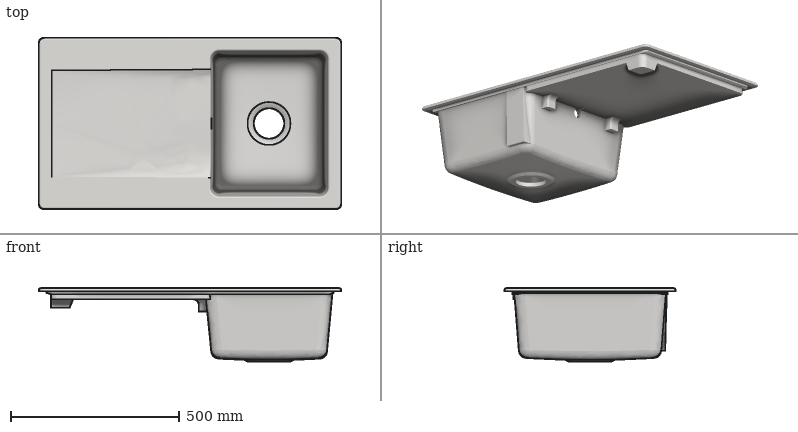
import cadquery as cq

RIM_LENGTH = 900.0
RIM_WIDTH = 510.0
RIM_THICKNESS = 10.0
RIM_CORNER_RADIUS = 16.0
RIM_EDGE_ROUND = 7.0
TOTAL_HEIGHT = 220.0

STEP_LENGTH = 856.0
STEP_WIDTH = 462.0
STEP_BOTTOM_Z = -18.0
STEP_CORNER_RADIUS = 11.0
STEP_CHAMFER_LENGTH = 12.0
STEP_CHAMFER_HEIGHT = 4.0
SLAB_LEFT_X = -414.0
SLAB_RIGHT_X = 62.0
SLAB_WIDTH = 457.0
SLAB_BOTTOM_Z = -34.0
SLAB_CORNER_RADIUS = 20.0

OUTER_TOP = (45.0, 424.5, 226.0, 33.0)
OUTER_LOW = (62.5, 408.0, 212.0, 33.0)
OUTER_LOW_Z = -186.0
INNER_TOP = (60.5, 411.5, 217.0, 26.0)
INNER_LOW = (75.0, 393.0, 197.0, 20.0)
INNER_LOW_Z = -190.0
OUTER_FLOOR_ROUND = 25.0
INNER_FLOOR_ROUND = 14.0
OPENING_ROUND = 5.0
FLOOR_THICKNESS = 14.0
FLOOR_SLOPE = 0.047
OUTER_FLOOR_Z = -217.5
INNER_FLOOR_Z = OUTER_FLOOR_Z + FLOOR_THICKNESS
LOFT_END_Z = -TOTAL_HEIGHT - 10.0
OVERFLOW_DIAMETER = 30.0
OVERFLOW_Z = -46.0

DRAIN_X = 235.0
DRAIN_DIAMETER = 90.0
DRAIN_SEAT_DIAMETER = 128.0
DRAIN_SEAT_DEPTH = 9.0
PAD_TOP_DIAMETER = 146.0
PAD_BOTTOM_DIAMETER = 122.0
PAD_HEIGHT = 6.0
PAD_TOP_Z = -TOTAL_HEIGHT + PAD_HEIGHT

BOARD_START_X = -411.5
BOARD_END_X = 80.0
BOARD_HALF_WIDTH = 158.0
BOARD_FLARE = 3.0
BOARD_START_DEPTH = 0.2
BOARD_END_DEPTH = 13.0
BOARD_SIDE_RUN = 28.0
BOARD_SIDE_STEEPNESS = 1.8

CLIP_Y = 140.0
CLIP_WIDTH = 36.0
CLIP_LEFT_X = 26.0
CLIP_BOTTOM_Z = -70.0
CLIP_FILLET = 16.0
CLIP_OVERLAP = 8.0
CLIP_CORNER_RADIUS = 5.0
FOOT_LENGTH = 66.0
FOOT_BOTTOM_LENGTH = 56.0
FOOT_INNER_Y = 164.0
FOOT_DRAFT_Y = 11.0
FOOT_CORNER_RADIUS = 10.0
FOOT_BOTTOM_Z = -59.0
REST_LEFT_X = 64.0
REST_LENGTH = 66.0
REST_OUTER_TOP_Y = 228.0
REST_OUTER_LOW_Y = 224.0
REST_INNER_Y = 185.0
REST_BOTTOM_Z = -187.0


def plate(length, width, top_z, bottom_z, corner_radius, center_x=0.0):
    """Flat plate with rounded vertical corners."""
    body = cq.Workplane("XY", origin=(center_x, 0, bottom_z)).rect(length, width).extrude(top_z - bottom_z)
    return body.edges("|Z").fillet(corner_radius)


def rounded_rectangle(size, z):
    """Closed wire of a rounded rectangle lying at height z."""
    left, right, half_width, radius = size
    corners = [(left, -half_width), (right, -half_width), (right, half_width), (left, half_width)]
    wire = cq.Wire.makePolygon([cq.Vector(x, y, z) for x, y in corners], close=True)
    return wire.fillet2D(radius, wire.Vertices())


def extrapolate(top, low, top_z, low_z, z):
    """Section of the tapered bowl at height z, on the straight line through two sections."""
    fraction = (z - top_z) / (low_z - top_z)
    return tuple(a + fraction * (b - a) for a, b in zip(top, low))


def bowl_body(top, low, top_z, low_z, floor_z, floor_round):
    """Tapered bowl closed by a shallow conical floor that falls towards the drain."""
    end = extrapolate(top, low, top_z, low_z, LOFT_END_Z)
    wires = [rounded_rectangle(top, top_z), rounded_rectangle(end, LOFT_END_Z)]
    tapered = cq.Workplane(cq.Solid.makeLoft(wires, True))
    cone_radius = RIM_WIDTH
    below_floor = (
        cq.Workplane("XZ", origin=(DRAIN_X, 0, 0))
        .moveTo(0, floor_z)
        .lineTo(cone_radius, floor_z + cone_radius * FLOOR_SLOPE)
        .lineTo(cone_radius, LOFT_END_Z - 1)
        .lineTo(0, LOFT_END_Z - 1)
        .close()
        .revolve(360, (0, 0), (0, 1))
    )
    body = tapered.cut(below_floor)
    return body.faces("%CONE").faces("<Z").edges().fillet(floor_round)


def deck():
    """Rim plate with rounded upper edge, step below it and slab under the drainboard."""
    rim = plate(RIM_LENGTH, RIM_WIDTH, 0, -RIM_THICKNESS, RIM_CORNER_RADIUS)
    rim = rim.faces(">Z").edges().fillet(RIM_EDGE_ROUND)
    step_height = -RIM_THICKNESS - STEP_BOTTOM_Z
    half_length = STEP_LENGTH / 2
    step = (
        cq.Workplane("XZ", origin=(0, STEP_WIDTH / 2, -RIM_THICKNESS))
        .moveTo(-half_length, 0)
        .lineTo(-half_length, STEP_CHAMFER_HEIGHT - step_height)
        .lineTo(STEP_CHAMFER_LENGTH - half_length, -step_height)
        .lineTo(half_length - STEP_CHAMFER_LENGTH, -step_height)
        .lineTo(half_length, STEP_CHAMFER_HEIGHT - step_height)
        .lineTo(half_length, 0)
        .close()
        .extrude(STEP_WIDTH)
        .edges("|Z")
        .fillet(STEP_CORNER_RADIUS)
    )
    slab = plate(
        SLAB_RIGHT_X - SLAB_LEFT_X,
        SLAB_WIDTH,
        -RIM_THICKNESS,
        SLAB_BOTTOM_Z,
        SLAB_CORNER_RADIUS,
        (SLAB_LEFT_X + SLAB_RIGHT_X) / 2,
    )
    return rim.union(step).union(slab)


def board_section(x, half_width, depth):
    """Trough cross-section: nearly flat floor curving up to each side."""
    floor_half_width = half_width - BOARD_SIDE_RUN
    side_slope = BOARD_SIDE_STEEPNESS * depth / BOARD_SIDE_RUN
    floor_and_end = [(-floor_half_width, -depth), (0, -depth), (floor_half_width, -depth), (half_width, 0)]
    return (
        cq.Workplane("YZ", origin=(x, 0, 0))
        .moveTo(-half_width, 0)
        .spline(floor_and_end, tangents=[(1, -side_slope), (1, side_slope)], includeCurrent=True)
        .close()
        .val()
    )


def drainboard():
    """Trough that deepens towards the bowl."""
    shallow = board_section(BOARD_START_X, BOARD_HALF_WIDTH, BOARD_START_DEPTH)
    deep = board_section(BOARD_END_X, BOARD_HALF_WIDTH + BOARD_FLARE, BOARD_END_DEPTH)
    return cq.Workplane(cq.Solid.makeLoft([shallow, deep], True))


def clip(center_y):
    """Lug beside the bowl, blended into the slab underside."""
    top_z = SLAB_BOTTOM_Z + CLIP_OVERLAP
    body = (
        cq.Workplane("XZ", origin=(0, center_y + CLIP_WIDTH / 2, 0))
        .moveTo(CLIP_LEFT_X - CLIP_FILLET, top_z)
        .lineTo(CLIP_LEFT_X - CLIP_FILLET, SLAB_BOTTOM_Z)
        .radiusArc((CLIP_LEFT_X, SLAB_BOTTOM_Z - CLIP_FILLET), CLIP_FILLET)
        .lineTo(CLIP_LEFT_X, CLIP_BOTTOM_Z)
        .lineTo(REST_LEFT_X, CLIP_BOTTOM_Z)
        .lineTo(REST_LEFT_X, top_z)
        .close()
        .extrude(CLIP_WIDTH)
    )
    middle_z = (SLAB_BOTTOM_Z - CLIP_FILLET + CLIP_BOTTOM_Z) / 2
    for side in (-1, 1):
        corner = (CLIP_LEFT_X, center_y + side * CLIP_WIDTH / 2, middle_z)
        body = body.edges(cq.NearestToPointSelector(corner)).fillet(CLIP_CORNER_RADIUS)
    return body


def corner_foot():
    """Foot at the rear left corner, tapering on its two inner sides."""
    outer_y = SLAB_WIDTH / 2
    inner_low_y = FOOT_INNER_Y + FOOT_DRAFT_Y
    body = (
        cq.Workplane("XY", origin=(SLAB_LEFT_X, 0, SLAB_BOTTOM_Z))
        .moveTo(0, FOOT_INNER_Y)
        .lineTo(FOOT_LENGTH, FOOT_INNER_Y)
        .lineTo(FOOT_LENGTH, outer_y)
        .lineTo(0, outer_y)
        .close()
        .workplane(offset=FOOT_BOTTOM_Z - SLAB_BOTTOM_Z)
        .moveTo(0, inner_low_y)
        .lineTo(FOOT_BOTTOM_LENGTH, inner_low_y)
        .lineTo(FOOT_BOTTOM_LENGTH, outer_y)
        .lineTo(0, outer_y)
        .close()
        .loft(ruled=True)
    )
    middle_z = (SLAB_BOTTOM_Z + FOOT_BOTTOM_Z) / 2
    middle_y = FOOT_INNER_Y + FOOT_DRAFT_Y / 2
    middle_length = (FOOT_LENGTH + FOOT_BOTTOM_LENGTH) / 2
    body = body.edges(cq.NearestToPointSelector((SLAB_LEFT_X, outer_y, middle_z))).fillet(SLAB_CORNER_RADIUS)
    inner_corner = (SLAB_LEFT_X + middle_length, middle_y, middle_z)
    return body.edges(cq.NearestToPointSelector(inner_corner)).fillet(FOOT_CORNER_RADIUS)


def rear_rest():
    """Support pad on the rear wall of the bowl."""
    return (
        cq.Workplane("YZ", origin=(REST_LEFT_X, 0, 0))
        .moveTo(REST_INNER_Y, STEP_BOTTOM_Z)
        .lineTo(REST_OUTER_TOP_Y, STEP_BOTTOM_Z)
        .lineTo(REST_OUTER_LOW_Y, REST_BOTTOM_Z)
        .lineTo(REST_INNER_Y, REST_BOTTOM_Z)
        .close()
        .extrude(REST_LENGTH)
    )


def drain_pad():
    """Conical pad under the drain."""
    return (
        cq.Workplane("XZ", origin=(DRAIN_X, 0, 0))
        .moveTo(0, PAD_TOP_Z + FLOOR_THICKNESS / 2)
        .lineTo(PAD_TOP_DIAMETER / 2, PAD_TOP_Z + FLOOR_THICKNESS / 2)
        .lineTo(PAD_TOP_DIAMETER / 2, PAD_TOP_Z)
        .lineTo(PAD_BOTTOM_DIAMETER / 2, -TOTAL_HEIGHT)
        .lineTo(0, -TOTAL_HEIGHT)
        .close()
        .revolve(360, (0, 0), (0, 1))
    )


def drain_opening():
    """Through hole with a conical seat that starts at the bowl floor."""
    seat_top_z = INNER_FLOOR_Z + FLOOR_SLOPE * DRAIN_SEAT_DIAMETER / 2
    seat_low_z = seat_top_z - DRAIN_SEAT_DEPTH
    return (
        cq.Workplane("XZ", origin=(DRAIN_X, 0, 0))
        .moveTo(0, seat_top_z)
        .lineTo(DRAIN_SEAT_DIAMETER / 2, seat_top_z)
        .lineTo(DRAIN_DIAMETER / 2, seat_low_z)
        .lineTo(DRAIN_DIAMETER / 2, LOFT_END_Z)
        .lineTo(0, LOFT_END_Z)
        .close()
        .revolve(360, (0, 0), (0, 1))
    )


def overflow_hole():
    """Hole through the bowl wall on the drainboard side."""
    return (
        cq.Workplane("YZ", origin=(CLIP_LEFT_X, 0, 0))
        .center(0, OVERFLOW_Z)
        .circle(OVERFLOW_DIAMETER / 2)
        .extrude(DRAIN_X - CLIP_LEFT_X)
    )


def round_opening(body):
    """Round the edges around the bowl opening, including the lowered lip of the drainboard."""
    left, right, half_width, _ = INNER_TOP
    margin = OPENING_ROUND
    low_corner = (left - margin, -half_width - 1, -BOARD_END_DEPTH)
    high_corner = (right + margin, half_width + 1, 1)
    return body.edges(cq.selectors.BoxSelector(low_corner, high_corner)).fillet(OPENING_ROUND)


outer_bowl = bowl_body(OUTER_TOP, OUTER_LOW, -RIM_THICKNESS, OUTER_LOW_Z, OUTER_FLOOR_Z, OUTER_FLOOR_ROUND)
inner_bowl = bowl_body(INNER_TOP, INNER_LOW, 0, INNER_LOW_Z, INNER_FLOOR_Z, INNER_FLOOR_ROUND)

result = deck().union(outer_bowl)
for clip_y in (-CLIP_Y, CLIP_Y):
    result = result.union(clip(clip_y))
for support in (corner_foot(), rear_rest(), drain_pad()):
    result = result.union(support)
result = round_opening(result.cut(inner_bowl).cut(drainboard()))
result = result.cut(drain_opening()).cut(overflow_hole())